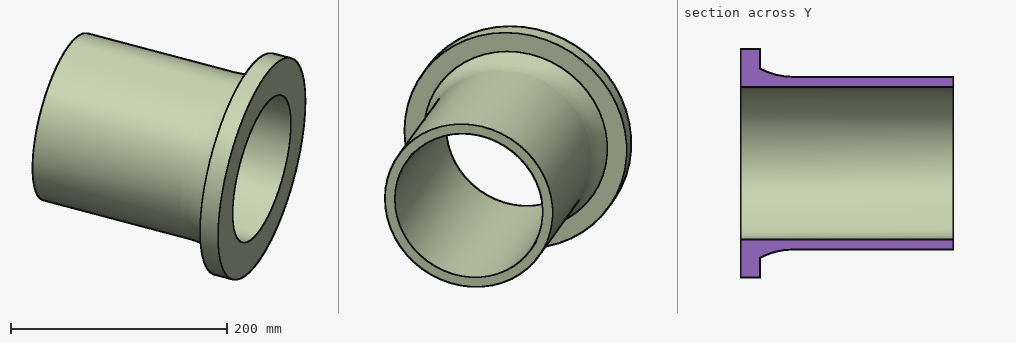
import cadquery as cq
import math

total_length = 196.5
flange_diameter = 212.0
flange_thickness = 18.0
pipe_diameter = 160.0
bore_diameter = 141.0
flare_length = 30.0
flare_end_diameter = 175.1

pipe_radius = pipe_diameter / 2
bore_radius = bore_diameter / 2
flange_radius = flange_diameter / 2
flare_end_radius = flare_end_diameter / 2

flange_face_x = total_length - flange_thickness
flare_start_x = flange_face_x - flare_length

flare_rise = flare_end_radius - pipe_radius
flare_arc_radius = (flare_length**2 + flare_rise**2) / (2 * flare_rise)
half_sweep = math.asin(flare_length / flare_arc_radius) / 2
flare_mid_point = (
    flare_start_x + flare_arc_radius * math.sin(half_sweep),
    pipe_radius + flare_arc_radius * (1 - math.cos(half_sweep)),
)

wall_section = (
    cq.Workplane("XY")
    .moveTo(0, bore_radius)
    .lineTo(0, pipe_radius)
    .lineTo(flare_start_x, pipe_radius)
    .threePointArc(flare_mid_point, (flange_face_x, flare_end_radius))
    .lineTo(flange_face_x, flange_radius)
    .lineTo(total_length, flange_radius)
    .lineTo(total_length, bore_radius)
    .close()
)

result = wall_section.revolve(360, (0, 0, 0), (1, 0, 0))